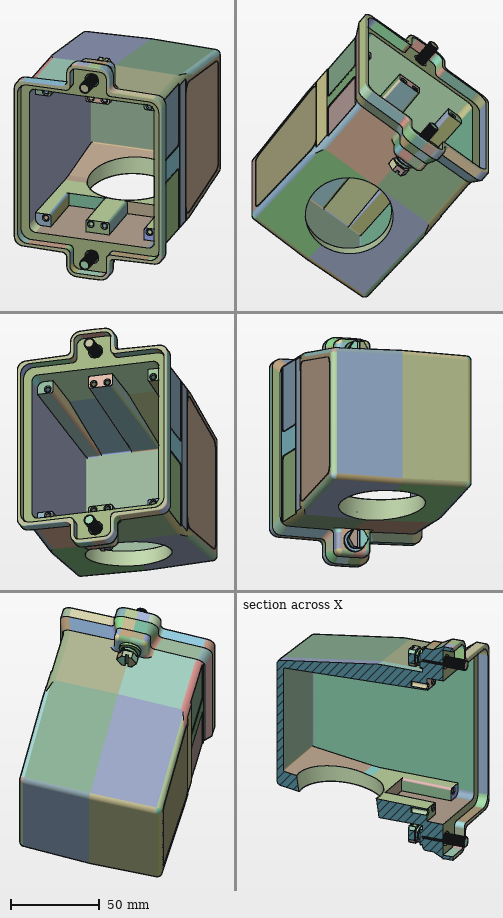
import cadquery as cq
import math


crown_slope = 0.021

flange_half_x = 44.15
flange_half_z = 51.4
flange_corner = 5.2
flange_thickness = 6.1
flange_edge_round = 0.5
wall_inset = 2.05
pocket_half_z = 48.5
pocket_tab_half_z = 62.5
pocket_corner = 6.0
pocket_depth = flange_thickness

tab_half_x = 12.9
tab_half_z = 65.0
tab_corner = 6.0
tab_root = 2.65

taper_inset = 3.0
collar_top = 12.1
lug_top = 19.1
lug_edge_round = 2.5

body_half_x = 41.4
body_half_z = 47.1
body_corner = 5.0
crease_y = 45.7
back_y = 109.5
back_half_z = 38.15
back_round = 3.0

panel_front_y = 48.8
side_relief = 0.5
panel_depth = 0.3
panel_back_y = 103.4
panel_margin = 5.9
panel_corner = 4.5
grip_front_y = 13.8
grip_back_y = 38.9
grip_inner_z = 6.9
grip_outer_z = 44.4
grip_corner = 2.3
grip_depth = 0.7
strip_back_y = 39.3
strip_depth = 0.15

mouth_half_x = 37.2
mouth_half_z = 43.8
mouth_corner = 3.9
cavity_back_y = 105.0
cavity_back_half_x = 35.0
cavity_back_half_z = 41.8
ceiling_crease_y = 46.0
ceiling_crease_z = 42.9
ceiling_back_z = 34.4
boss_front_y = 16.0
boss_face_z = 36.2
rib_back_z = 33.8
floor_crease_y = 65.5
floor_crease_z = -35.0
floor_back_z = -29.1
floor_blend = 45.0
recess_inner_x = 7.0
recess_outer_x = 27.8
recess_back_y = 46.7
rib_draft = 0.018
boss_edge_round = 1.3
cavity_back_round = 0.7

insert_hole_x = (4.0, 30.9)
insert_hole_z = 38.6
insert_hole_radius = 1.4
insert_hole_sink = 0.6
insert_hole_depth = 10.0

entry_radius = 24.35
entry_y = 72.0
entry_reach = 20.0

screw_z = 54.0
thread_radius = 3.0
screw_clearance_radius = 4.05
thread_depth = 0.4
thread_pitch = 0.75
screw_tip_y = -6.25
washer_radius = 6.15
washer_top = 20.6
neck_radius = 3.6
spring_radius = 4.8
spring_thickness = 1.6
spring_rise = 1.1
spring_split_x = 3.2
spring_split = 0.5
head_base = 23.7
head_top = 27.8
head_flats = 10.0
slot_width = 1.6
slot_depth = 1.5


selection_margin = 1.0


def xz_plane(y):
    """Plane at the given Y with local axes X and Z."""
    return cq.Workplane(cq.Plane(origin=(0, y, 0), xDir=(1, 0, 0), normal=(0, -1, 0)))


def trace(plane, corners):
    """Closed outline through (u, v, radius) corners, each rounded by a tangent arc."""
    marks = []
    count = len(corners)
    for i, (u, v, radius) in enumerate(corners):
        corner = cq.Vector(u, v, 0)
        to_last = (cq.Vector(*corners[i - 1][:2], 0) - corner).normalized()
        to_next = (cq.Vector(*corners[(i + 1) % count][:2], 0) - corner).normalized()
        half_angle = to_last.getAngle(to_next) / 2
        setback = radius / math.tan(half_angle)
        bisector = (to_last + to_next).normalized() if radius else cq.Vector()
        middle = corner + bisector * (radius / math.sin(half_angle) - radius)
        marks.append((corner + to_last * setback, middle, corner + to_next * setback, radius))
    first = marks[0]
    sketch = plane.moveTo(first[2].x, first[2].y)
    for start, middle, end, radius in marks[1:] + [first]:
        sketch = sketch.lineTo(start.x, start.y)
        if radius:
            sketch = sketch.threePointArc((middle.x, middle.y), (end.x, end.y))
    return sketch.close()


def four_fold(quadrant):
    """Repeat the corners of the +X +Z quadrant, listed clockwise, in all four quadrants."""
    right = quadrant + [(x, -z, r) for x, z, r in reversed(quadrant)]
    return right + [(-x, z, r) for x, z, r in reversed(right)]


def crowned(x, centre_z):
    """Height at the given X of a surface that is centre_z high at X = 0."""
    return centre_z - crown_slope * x


def tabbed_corners(half_x, half_z, corner, tab_x, tab_z, tab_r, root):
    """Crowned rectangle with a central tab at the top and at the bottom."""
    outline = four_fold([
        (tab_x, crowned(tab_x, tab_z), tab_r),
        (tab_x, crowned(tab_x, half_z), root),
        (half_x, crowned(half_x, half_z), corner),
    ])
    middle = len(outline) // 2
    return [(0, tab_z, 0)] + outline[:middle] + [(0, -tab_z, 0)] + outline[middle:]


def body_corners(half_z, corner):
    """Crowned rectangle without tabs."""
    edge_z = crowned(body_half_x, half_z)
    right = [(0, half_z, 0), (body_half_x, edge_z, corner), (body_half_x, -edge_z, corner)]
    return right + [(-x, -z, r) for x, z, r in right]


def prism(corners, front_y, rear_y):
    return trace(xz_plane(front_y), corners).extrude(front_y - rear_y)


def loft_between(front_corners, front_y, back_corners, rear_y):
    wires = [
        trace(xz_plane(front_y), front_corners).val(),
        trace(xz_plane(rear_y), back_corners).val(),
    ]
    return cq.Workplane(cq.Solid.makeLoft(wires, True))


def yz_slab(corners, x_from, x_to):
    """Extrude a (y, z, radius) outline along X."""
    return trace(cq.Workplane("YZ", origin=(x_from, 0, 0)), corners).extrude(x_to - x_from)


def box(x, y, z):
    """Box from (low, high) pairs."""
    return cq.Workplane(cq.Solid.makeBox(
        x[1] - x[0], y[1] - y[0], z[1] - z[0], cq.Vector(x[0], y[0], z[0])))


def along_y(radius, from_y, to_y):
    return xz_plane(from_y).circle(radius).extrude(from_y - to_y)


def make_flange():
    """Flange plate, sloped collar and the two lugs that carry the screws."""
    corners = tabbed_corners(
        flange_half_x, flange_half_z, flange_corner, tab_half_x, tab_half_z, tab_corner, tab_root)
    plate = prism(corners, 0, flange_thickness).faces("<Y").edges().fillet(flange_edge_round)
    lug_half_x = tab_half_x - taper_inset
    lug_half_z = tab_half_z - taper_inset
    lug_corner = tab_corner - taper_inset
    top_corners = tabbed_corners(
        body_half_x, body_half_z, body_corner, lug_half_x, lug_half_z, lug_corner, tab_root)
    collar = loft_between(corners, flange_thickness, top_corners, collar_top)
    foot_half_x = lug_half_x + 2 * tab_root
    lugs = prism(
        tabbed_corners(
            foot_half_x, body_half_z, 0, lug_half_x, lug_half_z, lug_corner, tab_root),
        collar_top, lug_top)
    lugs = lugs.faces(">Y").edges("not(<X or >X)").fillet(lug_edge_round)
    return plate.union(collar).union(lugs)


def make_body():
    """Straight front part running into a rear part that leans in and has rounded edges."""
    front = prism(body_corners(body_half_z, body_corner), flange_thickness, back_y)
    lean = loft_between(body_corners(body_half_z, 0), crease_y, body_corners(back_half_z, 0), back_y)
    edge_y = back_y - crown_slope * body_half_x
    crown = (
        cq.Workplane("XY", origin=(0, 0, -body_half_z))
        .polyline([
            (-body_half_x, crease_y), (-body_half_x, edge_y), (0, back_y),
            (body_half_x, edge_y), (body_half_x, crease_y),
        ])
        .close().extrude(2 * body_half_z)
    )
    lean = lean.intersect(crown)
    low_y = crease_y + selection_margin
    high_x = body_half_x + selection_margin
    right_edges = cq.selectors.BoxSelector(
        (selection_margin, low_y, -body_half_z), (high_x, back_y, body_half_z))
    left_edges = cq.selectors.BoxSelector(
        (-high_x, low_y, -body_half_z), (-selection_margin, back_y, body_half_z))
    lean = lean.edges(right_edges + left_edges).fillet(back_round)
    wedge = lean.union(box((-body_half_x, body_half_x), (0, crease_y), (-body_half_z, body_half_z)))
    return front.intersect(wedge)


def lean_z(y):
    """Height of the leaning outer wall at X = 0."""
    return body_half_z - (body_half_z - back_half_z) * (y - crease_y) / (back_y - crease_y)


def cut_sides(body):
    """Relieve both side walls and sink a rear panel and two grip pads into each."""
    relief_x = body_half_x - side_relief
    panel_x = body_half_x - panel_depth
    front_z = lean_z(panel_front_y) - panel_margin
    back_z = lean_z(panel_back_y) - panel_margin
    panel = [
        (panel_back_y, back_z, panel_corner), (panel_back_y, -back_z, panel_corner),
        (panel_front_y, -front_z, panel_corner), (panel_front_y, front_z, panel_corner),
    ]
    tall = flange_half_z
    tools = [
        box((relief_x, flange_half_x), (collar_top, panel_front_y), (-tall, tall)),
        box((relief_x - strip_depth, flange_half_x), (collar_top, strip_back_y), (-tall, tall)),
        yz_slab(panel, panel_x, flange_half_x),
    ]
    for side in (1, -1):
        grip = [
            (grip_front_y, side * grip_outer_z, 0), (grip_back_y, side * grip_outer_z, 0),
            (grip_back_y, side * grip_inner_z, grip_corner),
            (grip_front_y, side * grip_inner_z, grip_corner),
        ]
        tools.append(yz_slab(grip, relief_x - grip_depth, flange_half_x))
    for tool in tools:
        body = body.cut(tool).cut(tool.mirror("YZ"))
    return body


def make_pocket():
    tab_x = tab_half_x - wall_inset
    corners = four_fold([
        (tab_x, pocket_tab_half_z, tab_corner - wall_inset),
        (tab_x, pocket_half_z, tab_root),
        (flange_half_x - wall_inset, pocket_half_z, pocket_corner),
    ])
    return prism(corners, 0, pocket_depth)


def make_floor():
    """Thick bottom wall with two recesses that leave three insert bosses standing."""
    low_z = -body_half_z
    floor = yz_slab(
        [
            (boss_front_y, low_z, 0), (boss_front_y, -boss_face_z, 0),
            (floor_crease_y, floor_crease_z, floor_blend), (cavity_back_y, floor_back_z, 0),
            (cavity_back_y, low_z, 0),
        ],
        -mouth_half_x, mouth_half_x)
    for x in ((recess_inner_x, recess_outer_x), (-recess_outer_x, -recess_inner_x)):
        floor = floor.cut(box(x, (0, recess_back_y), (-body_half_z, 0)))
    edge_x = recess_outer_x + selection_margin
    boss_edges = cq.selectors.BoxSelector(
        (-edge_x, boss_front_y + selection_margin, -boss_face_z - selection_margin),
        (edge_x, recess_back_y - selection_margin, -boss_face_z + selection_margin))
    return floor.edges(boss_edges).fillet(boss_edge_round)


def make_ceiling():
    """Top wall that follows the outer lean, with three ribs carrying the insert bosses."""
    high_z = body_half_z
    slope = yz_slab(
        [
            (0, high_z, 0), (0, mouth_half_z, 0), (ceiling_crease_y, ceiling_crease_z, 0),
            (cavity_back_y, ceiling_back_z, 0), (cavity_back_y, high_z, 0),
        ],
        -mouth_half_x, mouth_half_x)
    rib = [
        (boss_front_y, high_z, 0), (boss_front_y, boss_face_z, 0),
        (cavity_back_y, rib_back_z, 0), (cavity_back_y, high_z, 0),
    ]
    widening = rib_draft * (cavity_back_y - boss_front_y)
    inner_back = recess_inner_x + widening
    outer_back = recess_outer_x - widening
    for front_x, back_x in (
        ((-body_half_x, -recess_outer_x), (-body_half_x, -outer_back)),
        ((-recess_inner_x, recess_inner_x), (-inner_back, inner_back)),
        ((recess_outer_x, body_half_x), (outer_back, body_half_x)),
    ):
        plan = (
            cq.Workplane("XY")
            .polyline([
                (front_x[0], boss_front_y), (front_x[1], boss_front_y),
                (back_x[1], cavity_back_y), (back_x[0], cavity_back_y),
            ])
            .close().extrude(body_half_z)
        )
        tapered_rib = yz_slab(rib, -body_half_x, body_half_x).intersect(plan)
        tapered_rib = tapered_rib.faces("<Z").edges("not |X").fillet(boss_edge_round)
        slope = slope.union(tapered_rib)
    return slope


def make_cavity():
    mouth = four_fold([(mouth_half_x, mouth_half_z, mouth_corner)])
    back = four_fold([(cavity_back_half_x, cavity_back_half_z, mouth_corner)])
    room = loft_between(mouth, pocket_depth, back, cavity_back_y)
    room = room.cut(make_floor()).cut(make_ceiling())
    return room.faces(">Y").edges().fillet(cavity_back_round)


def make_insert_holes():
    hole = along_y(insert_hole_radius, boss_front_y, boss_front_y + insert_hole_depth)
    sink = cq.Workplane(cq.Solid.makeCone(
        insert_hole_radius + insert_hole_sink, insert_hole_radius, insert_hole_sink,
        cq.Vector(0, boss_front_y, 0), cq.Vector(0, 1, 0)))
    hole = hole.union(sink)
    holes = cq.Workplane()
    for x in insert_hole_x:
        for place_x in (x, -x):
            for z in (insert_hole_z, -insert_hole_z):
                holes = holes.add(hole.translate((place_x, 0, z)))
    return holes.combine()


def make_cable_entry():
    """Round hole square to the leaning bottom wall."""
    lean_angle = math.atan2(body_half_z - back_half_z, back_y - crease_y)
    outward = cq.Vector(0, -math.sin(lean_angle), -math.cos(lean_angle))
    start = cq.Vector(0, entry_y, floor_crease_z) - outward * entry_reach
    return cq.Workplane(cq.Solid.makeCylinder(entry_radius, 2 * entry_reach, start, outward))


def make_screw():
    """Slotted hex screw with plain and spring washers, axis along Y through the origin."""
    root = thread_radius - thread_depth
    profile = cq.Workplane("XY").moveTo(0, screw_tip_y).lineTo(root, screw_tip_y)
    turns = int((lug_top - screw_tip_y) / thread_pitch)
    for turn in range(turns):
        start = screw_tip_y + turn * thread_pitch
        profile = profile.lineTo(thread_radius, start + thread_pitch / 2)
        profile = profile.lineTo(root, start + thread_pitch)
    profile = profile.lineTo(root, lug_top).lineTo(0, lug_top).close()
    shank = profile.revolve(360, (0, 0, 0), (0, 1, 0))
    washer = along_y(washer_radius, lug_top, washer_top)
    neck = along_y(neck_radius, washer_top, head_base)
    spring_middle = (washer_top + head_base) / 2
    tilt = math.degrees(math.asin(spring_rise / (2 * spring_radius)))
    spring_base = spring_middle - spring_thickness / 2
    spring = along_y(spring_radius, spring_base, spring_base + spring_thickness)
    spring = spring.cut(box(
        (spring_split_x, spring_split_x + spring_split), (washer_top, head_base), (0, spring_radius)))
    spring = spring.rotate((0, spring_middle, 0), (0, spring_middle, 1), -tilt)
    head = xz_plane(head_base).polygon(6, head_flats / math.cos(math.pi / 6)).extrude(head_base - head_top)
    head = head.cut(box(
        (-slot_width / 2, slot_width / 2), (head_top - slot_depth, head_top), (-head_flats, head_flats)))
    return shank.union(washer).union(neck).union(spring).union(head)


hood = cut_sides(make_flange().union(make_body()))
hood = hood.cut(make_pocket()).cut(make_cavity())
hood = hood.cut(make_insert_holes()).cut(make_cable_entry())

screw = make_screw()
clearance = along_y(screw_clearance_radius, 0, lug_top)
for z in (screw_z, -screw_z):
    hood = hood.cut(clearance.translate((0, 0, z))).union(screw.translate((0, 0, z)))

result = hood